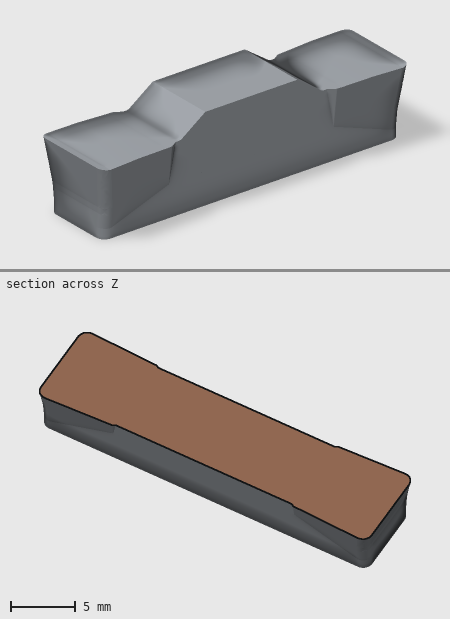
import cadquery as cq
import math


core_width = 6.61
core_length = 29.08
corner_radius = 0.8

overall_height = 8.08
ledge_height = 6.37
hump_top_length = 8.98
hump_slope_angle = 35.2
hump_foot_radius = 0.63

overall_length = 30.08
edge_height = 6.45
land_length = 0.75
land_arc_sag = 0.006
crown_inner_y = 8.58
crown_rise = 0.06
front_relief_angle = 7.2
front_blend_radius = 4.4

flank_relief_angle = 7
flank_taper_angle = 2.5
flank_foot_y = 13.74
flank_foot_height = 0.9
shoulder_angle = 32
shoulder_relief_angle = 5.8
shoulder_y = 8.06
shoulder_radius = 0.12
loft_height = 7.5

half_core = core_width / 2
core_end_y = core_length / 2
tip_y = overall_length / 2
inner_half_width = half_core / 2


def tan_deg(angle):
    return math.tan(math.radians(angle))


def make_core():
    """Bar with rounded vertical corners, carrying the hump with blended feet."""
    slope = math.radians(hump_slope_angle)
    hump_y = hump_top_length / 2
    slope_run = (overall_height - ledge_height) / math.tan(slope)
    foot_y = hump_y + slope_run

    bar = (
        cq.Workplane("XY")
        .box(core_width, core_length, ledge_height, centered=(True, True, False))
        .edges("|Z")
        .fillet(corner_radius)
    )

    blend_length = hump_foot_radius * math.tan(slope / 2)
    blend_end_y = foot_y + blend_length
    blend_start_y = foot_y - blend_length * math.cos(slope)
    blend_start_z = ledge_height + blend_length * math.sin(slope)
    blend_mid_y = blend_end_y - hump_foot_radius * math.sin(slope / 2)
    blend_mid_z = ledge_height + hump_foot_radius * (1 - math.cos(slope / 2))

    hump = (
        cq.Workplane("YZ")
        .moveTo(-blend_end_y, 0)
        .lineTo(blend_end_y, 0)
        .lineTo(blend_end_y, ledge_height)
        .threePointArc((blend_mid_y, blend_mid_z), (blend_start_y, blend_start_z))
        .lineTo(hump_y, overall_height)
        .lineTo(-hump_y, overall_height)
        .lineTo(-blend_start_y, blend_start_z)
        .threePointArc((-blend_mid_y, blend_mid_z), (-blend_end_y, ledge_height))
        .close()
        .extrude(half_core, both=True)
    )
    return bar.union(hump)


def make_head_profile():
    """Head outline in the YZ plane, extruded wider than the head."""
    relief = math.radians(front_relief_angle)
    blend_depth = front_blend_radius * (1 - math.cos(relief))
    blend_rise = front_blend_radius * math.sin(relief)
    blend_top_y = core_end_y + blend_depth
    blend_top_z = edge_height - (tip_y - blend_top_y) / math.tan(relief)
    blend_bottom_z = blend_top_z - blend_rise
    blend_mid_y = core_end_y + front_blend_radius * (1 - math.cos(relief / 2))
    blend_mid_z = blend_bottom_z + front_blend_radius * math.sin(relief / 2)

    land_y = tip_y - land_length
    land_mid = (tip_y - land_length / 2, (ledge_height + edge_height) / 2 - land_arc_sag)
    crown_mid = ((land_y + crown_inner_y) / 2, ledge_height + crown_rise)

    return (
        cq.Workplane("YZ")
        .moveTo(0, 0)
        .lineTo(core_end_y, 0)
        .lineTo(core_end_y, blend_bottom_z)
        .threePointArc((blend_mid_y, blend_mid_z), (blend_top_y, blend_top_z))
        .lineTo(tip_y, edge_height)
        .threePointArc(land_mid, (land_y, ledge_height))
        .threePointArc(crown_mid, (crown_inner_y, ledge_height))
        .lineTo(0, ledge_height)
        .close()
        .extrude(core_width, both=True)
    )


def flank_x(y, z):
    """Half width of the head between its flat flanks, at a given place and height."""
    taper = (y - flank_foot_y) * tan_deg(flank_taper_angle)
    relief = (z - flank_foot_height) * tan_deg(flank_relief_angle)
    return half_core + taper + relief


def head_section(z):
    """Corner points of the flank outline at height z."""
    shoulder_slope = tan_deg(shoulder_angle)
    taper_slope = tan_deg(flank_taper_angle)
    corner_at_ledge = flank_x(shoulder_y, ledge_height)
    shoulder_shift = (ledge_height - z) * tan_deg(shoulder_relief_angle)
    shoulder_x = corner_at_ledge - shoulder_shift / math.cos(math.radians(shoulder_angle))
    corner_y = shoulder_y + (flank_x(shoulder_y, z) - shoulder_x) / (shoulder_slope - taper_slope)
    inner_y = shoulder_y + (inner_half_width - shoulder_x) / shoulder_slope
    right = [(flank_x(tip_y, z), tip_y), (flank_x(corner_y, z), corner_y), (inner_half_width, inner_y)]
    left = [(-x, y) for x, y in reversed(right)]
    return right + left


def is_shoulder_corner(edge):
    """Steep edge where a flank meets its shoulder wall: neither at the tip nor inside the core."""
    center = edge.Center()
    is_steep = 0 < center.z < loft_height
    return is_steep and center.y < core_end_y and abs(center.x) > inner_half_width


def is_front_corner(edge):
    """Steep edge where a flank meets the front face, below the cutting edge."""
    center = edge.Center()
    is_at_front = center.y > core_end_y - corner_radius / 2
    return is_at_front and abs(center.x) > inner_half_width and center.z < ledge_height


def make_head():
    """Cutting head on the +Y end."""
    flanks = (
        cq.Workplane("XY")
        .polyline(head_section(0))
        .close()
        .workplane(offset=loft_height)
        .polyline(head_section(loft_height))
        .close()
        .loft(ruled=True)
    )
    flanks = flanks.edges().filter(is_shoulder_corner).fillet(shoulder_radius)
    head = make_head_profile().intersect(flanks)
    return head.edges().filter(is_front_corner).fillet(corner_radius)


head = make_head()
result = make_core().union(head).union(head.mirror("XZ"))